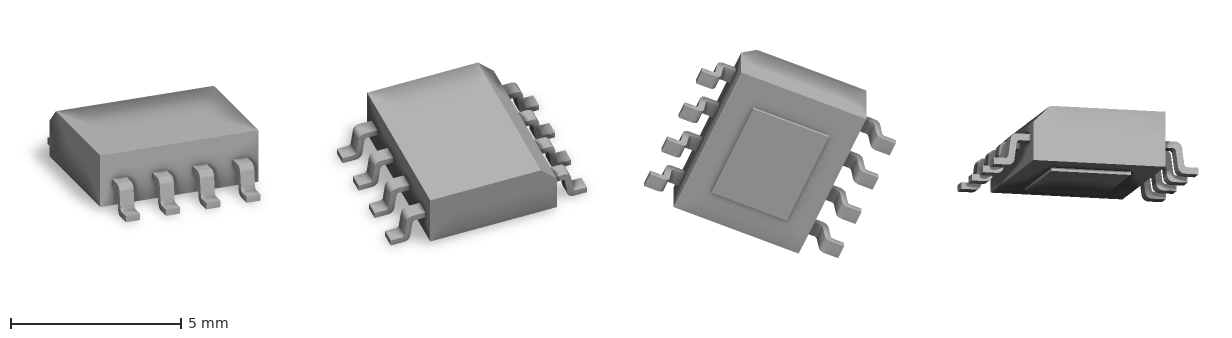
import cadquery as cq
import math


overall_span = 6.2
body_width = 4.0
body_length = 5.0
top_height = 1.75
standoff = 0.1
edge_chamfer = 0.5

pad_width = 2.42
pad_length = 3.1

leads_per_side = 4
lead_pitch = 1.27
lead_width = 0.445
lead_thickness = 0.2
shoulder_height = 0.95
foot_length = 0.42
riser_lean = math.radians(8)
inner_bend_radius = 0.1
outer_bend_radius = 0.2


def make_body():
    """Block with one long top edge chamfered on the -X side."""
    body_height = top_height - standoff
    block = cq.Workplane("XY").box(body_width, body_length, body_height, centered=(True, True, False))
    return block.edges("<X and >Z").chamfer(edge_chamfer).translate((0, 0, standoff))


def make_pad():
    """Thin plate filling the gap between the body and the board plane."""
    return cq.Workplane("XY").box(pad_width, pad_length, standoff, centered=(True, True, False))


def make_lead():
    """One lead on the -X side, centred on Y = 0, from its tip to the body wall."""
    tip_x = -overall_span / 2
    wall_x = -body_width / 2
    riser_width = lead_thickness / math.cos(riser_lean)
    shoulder_underside = shoulder_height - lead_thickness

    def outer_face_x(z):
        return tip_x + foot_length + (z - lead_thickness) * math.tan(riser_lean)

    def inner_face_x(z):
        return outer_face_x(z) + riser_width

    foot_top = (outer_face_x(lead_thickness), lead_thickness)
    shoulder_top = (outer_face_x(shoulder_height), shoulder_height)
    shoulder_under = (inner_face_x(shoulder_underside), shoulder_underside)
    heel = (inner_face_x(0), 0)

    profile = [
        (tip_x, 0),
        (tip_x, lead_thickness),
        foot_top,
        shoulder_top,
        (wall_x, shoulder_height),
        (wall_x, shoulder_underside),
        shoulder_under,
        heel,
    ]
    lead = cq.Workplane("XZ").polyline(profile).close().extrude(lead_width / 2, both=True)

    bends = [
        (foot_top, inner_bend_radius),
        (shoulder_under, inner_bend_radius),
        (shoulder_top, outer_bend_radius),
        (heel, outer_bend_radius),
    ]
    for (x, z), radius in bends:
        corner = cq.selectors.NearestToPointSelector((x, 0, z))
        lead = lead.edges("|Y").edges(corner).fillet(radius)
    return lead


result = make_body().union(make_pad())

left_lead = make_lead()
right_lead = left_lead.mirror("YZ")
for index in range(leads_per_side):
    y = (index - (leads_per_side - 1) / 2) * lead_pitch
    result = result.union(left_lead.translate((0, y, 0)))
    result = result.union(right_lead.translate((0, y, 0)))